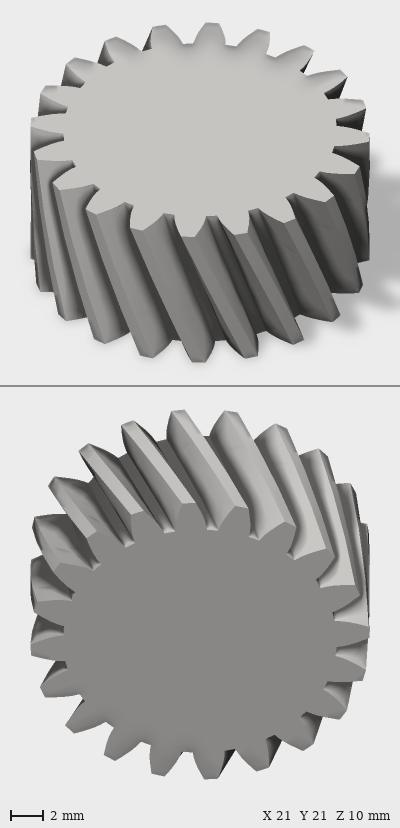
import cadquery as cq
import math

teeth = 20
face_width = 10.0
tip_radius = 10.48
root_radius = 8.45
pitch_radius = 9.57
helix_angle = 20.0

flank = [
    (root_radius, 6.7),
    (9.22, 5.4),
    (9.85, 3.9),
    (tip_radius, 2.3),
]

tooth_pitch = 360.0 / teeth
twist = -math.degrees(face_width * math.tan(math.radians(helix_angle)) / pitch_radius)


def polar(radius, angle):
    """Point at a radius and an angle in degrees."""
    return radius * math.cos(math.radians(angle)), radius * math.sin(math.radians(angle))


def gear_outline():
    """Closed outline of all the teeth, with the first tooth centred on +X."""
    root_half_angle = flank[0][1]
    outline = cq.Workplane("XY").moveTo(*polar(root_radius, -root_half_angle))
    for tooth in range(teeth):
        centre = tooth * tooth_pitch
        tip_half_angle = flank[-1][1]
        rising = [polar(radius, centre - half) for radius, half in flank]
        falling = [polar(radius, centre + half) for radius, half in reversed(flank)]
        gap_middle = polar(root_radius, centre + tooth_pitch / 2)
        gap_end = polar(root_radius, centre + tooth_pitch - root_half_angle)
        outline = (
            outline.spline(rising[1:], includeCurrent=True)
            .threePointArc(polar(tip_radius, centre), polar(tip_radius, centre + tip_half_angle))
            .spline(falling[1:], includeCurrent=True)
            .threePointArc(gap_middle, gap_end)
        )
    return outline.close()


result = gear_outline().twistExtrude(face_width, twist)